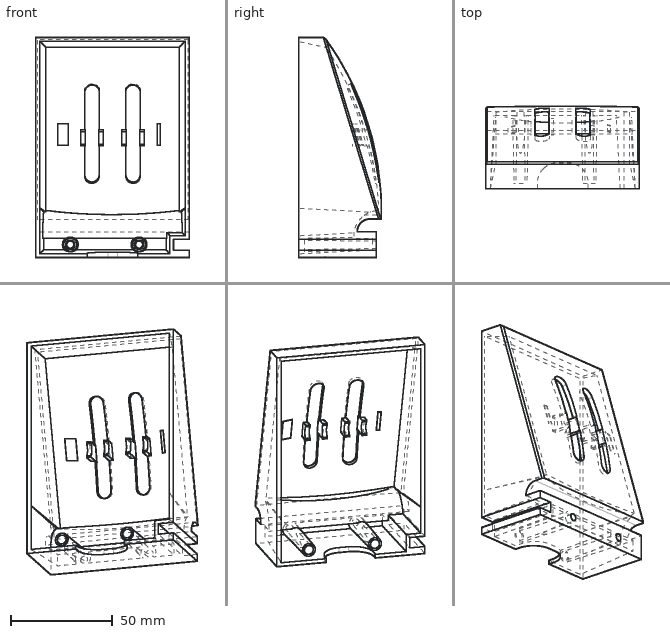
import cadquery as cq
import math

WIDTH = 75.7
HEIGHT = 108.4
FOOT_DEPTH = 38.2
MIDDLE_X = WIDTH / 2

SLOPE_TOP_Y = 13.2
SLOPE_BOTTOM_Y = 46.2
SLOPE_RUN = (SLOPE_BOTTOM_Y - SLOPE_TOP_Y) / HEIGHT
EDGE_CHAMFER = 1.0
DOME_BOTTOM_Z = 17.8
DOME_RISE = 7.8
SKIN_RISE_LOSS = 1.2
DOME_SECTIONS = 9
DOME_EDGE_RISE = 0.05
DOME_ROOT = 1.1

SIDE_WALL = 2.2
END_WALL = 2.0
CAVITY_INSET = 2.9
CAVITY_BACK_GAP = 1.3
UPPER_CAVITY_Z = 16.3
LOWER_CAVITY_DEPTH = 36.3
LOWER_CAVITY_TOP = 24.4
DRAFT_ANGLE = 3.0
STEP_X = 66.1
STEP_Z = 10.8

GROOVE_RADIUS = 6.2
GROOVE_Y = 35.1
GROOVE_Z = 12.8
COVER_RADIUS = 12.5
COVER_Y = 39.5
COVER_Z = 10.8
COVER_BOTTOM_Z = 9.5
COVER_DIP_Z = 21.1
COVER_DIP_EDGE_Z = 23.2

NOTCH_X = 67.9
NOTCH_BOTTOM_Z = 3.7
NOTCH_TOP_Z = 9.0

FLOOR_CUT_WIDTH = 25.0
FLOOR_CUT_DEPTH = 13.0
FLOOR_CUT_RADIUS = 10.1
FLOOR_CUT_HEIGHT = 2.7

POST_XS = (17.1, 50.9)
POST_Z = 6.4
POST_FRONT_Y = 2.7
POST_FRONT_DIAMETER = 6.5
POST_BACK_DIAMETER = 7.7
BORE_FRONT_DIAMETER = 4.5
BORE_BACK_DIAMETER = 3.6

SLOT_SPACING = 20.2
SLOT_XS = (MIDDLE_X - SLOT_SPACING / 2, MIDDLE_X + SLOT_SPACING / 2)
SLOT_WIDTH = 7.0
SLOT_LENGTH = 50.4
SLOT_MIDDLE_Z = 59.9
SLOT_REACH = 13.0
TAB_THICKNESS = 2.3
TAB_INNER_GAP = 6.5
TAB_FRONT_Y = 26.5
TAB_BOTTOM_Z = 54.9
TAB_TOP_Z = 62.8
SADDLE_RADIUS = 4.0
SADDLE_Y = 24.0

PAD_X_RANGES = ((10.8, 16.0), (59.8, 61.3))
PAD_BOTTOM_Z = 55.3
PAD_TOP_Z = 65.8
PAD_RISE = 0.3


def slope_y(z):
    """Y of the sloping back plane at height z."""
    return SLOPE_TOP_Y + (HEIGHT - z) * SLOPE_RUN


def box(x0, x1, y0, y1, z0, z1):
    """Axis-aligned box between two corners."""
    return cq.Workplane("XY").box(x1 - x0, y1 - y0, z1 - z0, centered=False).translate((x0, y0, z0))


def dome(inset_x, top_z, gap, rise):
    """Body bulging from the slope: upright arcs whose rise fades to the sides as a parabola."""
    half_width = MIDDLE_X - inset_x
    top = cq.Vector(0, slope_y(top_z) - gap, top_z)
    bottom = cq.Vector(0, slope_y(DOME_BOTTOM_Z) - gap, DOME_BOTTOM_Z)
    slope_length = math.hypot(1, SLOPE_RUN)
    outward = cq.Vector(0, 1 / slope_length, SLOPE_RUN / slope_length)
    wires = []
    for i in range(DOME_SECTIONS):
        across = 2 * i / (DOME_SECTIONS - 1) - 1
        local_rise = DOME_EDGE_RISE + (rise - DOME_EDGE_RISE) * (1 - across**2)
        shift = cq.Vector(MIDDLE_X + across * half_width, 0, 0)
        start = top + shift
        end = bottom + shift
        crown = (start + end) * 0.5 + outward * local_rise
        deep_start = start - outward * DOME_ROOT
        deep_end = end - outward * DOME_ROOT
        wires.append(cq.Wire.assembleEdges([
            cq.Edge.makeThreePointArc(start, crown, end),
            cq.Edge.makeLine(end, deep_end),
            cq.Edge.makeLine(deep_end, deep_start),
            cq.Edge.makeLine(deep_start, start),
        ]))
    return cq.Workplane(cq.Solid.makeLoft(wires))


def inner_dome(lift):
    """Body filling the hollow of the dome, pulled forward by lift."""
    inset = SIDE_WALL + CAVITY_INSET
    top_z = HEIGHT - END_WALL - CAVITY_INSET
    return dome(inset, top_z, CAVITY_BACK_GAP + lift, DOME_RISE - SKIN_RISE_LOSS)


def outer_body():
    """Wedge block with a chamfered slope and the dome on it."""
    outline = [
        (0, 0),
        (FOOT_DEPTH, 0),
        (FOOT_DEPTH, GROOVE_Z),
        (slope_y(GROOVE_Z), GROOVE_Z),
        (SLOPE_TOP_Y, HEIGHT),
        (0, HEIGHT),
    ]
    block = cq.Workplane("YZ").polyline(outline).close().extrude(WIDTH)
    slope_middle = (MIDDLE_X, slope_y(HEIGHT / 2), HEIGHT / 2)
    slope_face = block.faces(cq.NearestToPointSelector(slope_middle))
    block = slope_face.edges("not(<Z)").chamfer(EDGE_CHAMFER)
    return block.union(dome(EDGE_CHAMFER, HEIGHT - EDGE_CHAMFER, 0, DOME_RISE))


def upper_cavity():
    """Funnel from the front opening to the slope, with the inside of the dome behind it."""
    front = [
        (SIDE_WALL, 0, UPPER_CAVITY_Z),
        (WIDTH - SIDE_WALL, 0, UPPER_CAVITY_Z),
        (WIDTH - SIDE_WALL, 0, HEIGHT - END_WALL),
        (SIDE_WALL, 0, HEIGHT - END_WALL),
    ]
    left = SIDE_WALL + CAVITY_INSET
    right = WIDTH - left
    top = HEIGHT - END_WALL - CAVITY_INSET
    back = [
        (x, slope_y(z) - CAVITY_BACK_GAP, z)
        for x, z in ((left, UPPER_CAVITY_Z), (right, UPPER_CAVITY_Z), (right, top), (left, top))
    ]
    wires = [cq.Wire.makePolygon([cq.Vector(*p) for p in ring], close=True) for ring in (front, back)]
    return cq.Workplane(cq.Solid.makeLoft(wires, True)).union(inner_dome(0))


def drafted_pocket(right, bottom):
    """Tapered pocket from the left wall to right, above bottom."""
    width = right - SIDE_WALL
    height = LOWER_CAVITY_TOP - bottom
    opening = cq.Workplane("XZ").center(SIDE_WALL + width / 2, bottom + height / 2).rect(width, height)
    return opening.extrude(-LOWER_CAVITY_DEPTH, taper=DRAFT_ANGLE)


def lower_cavity():
    """Drafted pocket above the floor, stepped around the notch."""
    return drafted_pocket(STEP_X, END_WALL).union(drafted_pocket(WIDTH - SIDE_WALL, STEP_Z))


def groove_cover():
    """Rounded wall around the groove with a flat underside and a dished top."""
    cover = cq.Workplane("YZ").center(COVER_Y, COVER_Z).circle(COVER_RADIUS).extrude(WIDTH)
    edge_x = SIDE_WALL + CAVITY_INSET
    below_dish = (
        cq.Workplane("XZ")
        .moveTo(0, COVER_BOTTOM_Z)
        .lineTo(0, COVER_DIP_EDGE_Z)
        .lineTo(edge_x, COVER_DIP_EDGE_Z)
        .threePointArc((MIDDLE_X, COVER_DIP_Z), (WIDTH - edge_x, COVER_DIP_EDGE_Z))
        .lineTo(WIDTH, COVER_DIP_EDGE_Z)
        .lineTo(WIDTH, COVER_BOTTOM_Z)
        .close()
        .extrude(-COVER_Y - COVER_RADIUS)
    )
    return cover.intersect(below_dish)


def groove():
    """Quarter-round groove across the full width, open to the back."""
    return (
        cq.Workplane("YZ")
        .moveTo(GROOVE_Y - GROOVE_RADIUS, GROOVE_Z)
        .radiusArc((GROOVE_Y, GROOVE_Z + GROOVE_RADIUS), GROOVE_RADIUS)
        .hLine(FOOT_DEPTH)
        .vLine(-GROOVE_RADIUS)
        .close()
        .extrude(WIDTH)
    )


def cone(x, front_diameter, back_diameter, back_y):
    """Round taper along Y on a post axis."""
    return cq.Workplane(cq.Solid.makeCone(
        front_diameter / 2,
        back_diameter / 2,
        back_y - POST_FRONT_Y,
        cq.Vector(x, POST_FRONT_Y, POST_Z),
        cq.Vector(0, 1, 0),
    ))


def floor_cutout():
    """Arch through the floor, open to the front."""
    return (
        box(
            MIDDLE_X - FLOOR_CUT_WIDTH / 2,
            MIDDLE_X + FLOOR_CUT_WIDTH / 2,
            0,
            FLOOR_CUT_DEPTH,
            0,
            FLOOR_CUT_HEIGHT,
        )
        .edges("|Z and >Y")
        .fillet(FLOOR_CUT_RADIUS)
    )


def slot(x):
    """Upright round-ended slot through the dome, square to the slope."""
    middle = cq.Vector(x, slope_y(SLOT_MIDDLE_Z), SLOT_MIDDLE_Z)
    slope_plane = cq.Plane(middle, xDir=(1, 0, 0), normal=(0, -1, -SLOPE_RUN))
    return cq.Workplane(slope_plane).slot2D(SLOT_LENGTH, SLOT_WIDTH, 90).extrude(SLOT_REACH, both=True)


def saddle_tabs(x):
    """Two plates beside a slot, each with a round saddle facing the front."""
    saddle_z = (TAB_BOTTOM_Z + TAB_TOP_Z) / 2
    saddle = cq.Workplane("YZ").center(SADDLE_Y, saddle_z).circle(SADDLE_RADIUS).extrude(WIDTH)
    inner = TAB_INNER_GAP / 2
    outer = inner + TAB_THICKNESS
    tabs = cq.Workplane()
    for x0, x1 in ((x - outer, x - inner), (x + inner, x + outer)):
        tabs = tabs.add(box(x0, x1, TAB_FRONT_Y, FOOT_DEPTH, TAB_BOTTOM_Z, TAB_TOP_Z))
    return tabs.combine().cut(saddle)


def pad(x0, x1):
    """Thin pad that follows the inside of the dome."""
    column = box(x0, x1, 0, FOOT_DEPTH, PAD_BOTTOM_Z, PAD_TOP_Z)
    return column.intersect(inner_dome(0)).cut(inner_dome(PAD_RISE))


envelope = outer_body()
cover = groove_cover()
body = envelope.cut(upper_cavity().cut(cover)).cut(lower_cavity().cut(cover))

for slot_x in SLOT_XS:
    body = body.cut(slot(slot_x))
    body = body.union(saddle_tabs(slot_x).intersect(envelope))
for pad_range in PAD_X_RANGES:
    body = body.union(pad(*pad_range))

body = body.cut(groove())
body = body.cut(box(NOTCH_X, WIDTH, 0, FOOT_DEPTH, NOTCH_BOTTOM_Z, NOTCH_TOP_Z))
body = body.cut(floor_cutout())

for post_x in POST_XS:
    body = body.union(cone(post_x, POST_FRONT_DIAMETER, POST_BACK_DIAMETER, LOWER_CAVITY_DEPTH))
    body = body.cut(cone(post_x, BORE_FRONT_DIAMETER, BORE_BACK_DIAMETER, FOOT_DEPTH))

result = body